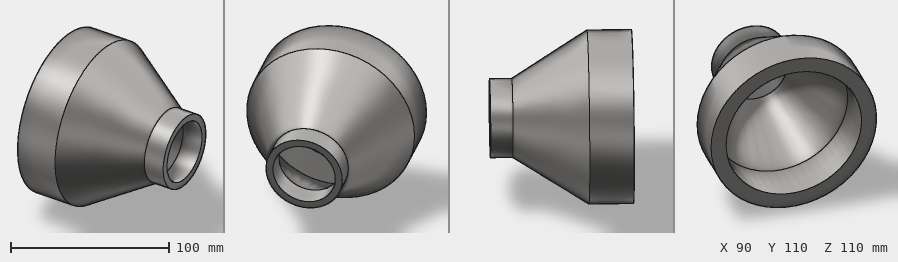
import cadquery as cq

total_length = 90.0
wide_length = 28.2
narrow_length = 14.1
wide_outer_diameter = 110.0
wide_bore_diameter = 90.0
narrow_outer_diameter = 50.0
narrow_bore_diameter = 40.8

narrow_start = total_length - narrow_length


def stepped_cone(wide_diameter, narrow_diameter):
    """Solid of revolution about X: wide cylinder, cone, narrow cylinder."""
    wide_radius = wide_diameter / 2
    narrow_radius = narrow_diameter / 2
    half_profile = [
        (0, 0),
        (0, wide_radius),
        (wide_length, wide_radius),
        (narrow_start, narrow_radius),
        (total_length, narrow_radius),
        (total_length, 0),
    ]
    return cq.Workplane("XY").polyline(half_profile).close().revolve(360, (0, 0, 0), (1, 0, 0))


body = stepped_cone(wide_outer_diameter, narrow_outer_diameter)
bore = stepped_cone(wide_bore_diameter, narrow_bore_diameter)
result = body.cut(bore)